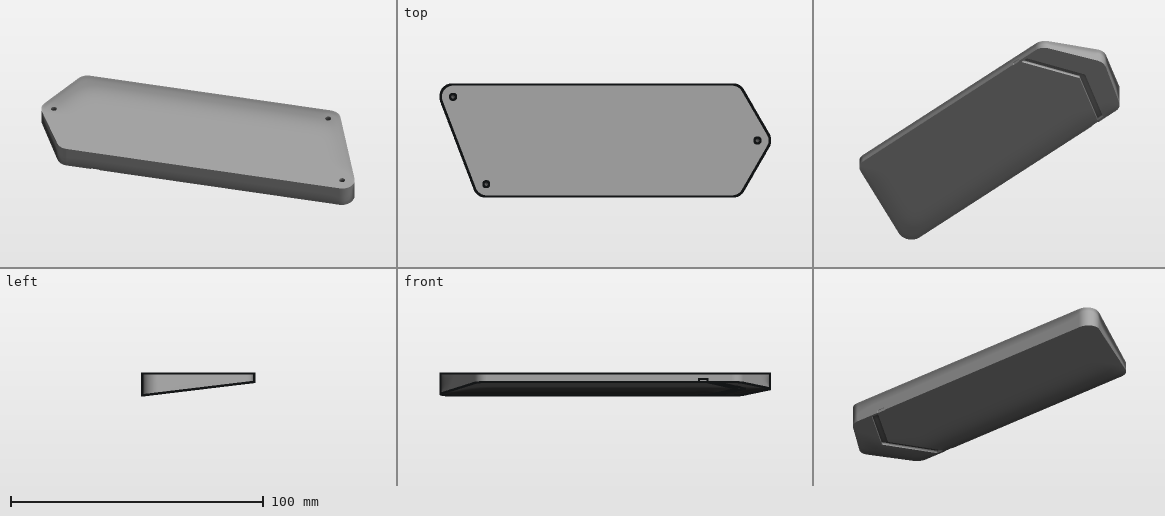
import cadquery as cq
import math

length = 130.4
width = 44.5
back_height = 8.7
front_height = 3.4

corner_radius = 5.0
nose_angle = math.radians(60)
left_lean = 13.2

hole_diameter = 2.3
hole_straight_depth = 2.0
hole_tip_angle = math.radians(118)

groove_tip = 120.5
groove_angle = math.radians(62)
groove_width = 2.7
groove_depth = 1.2
groove_end_wall = 1.0

recess_left = 102.4
recess_width = 3.3
recess_depth = 0.3

front_y = corner_radius
back_y = width - corner_radius
middle_y = width / 2
nose_x = length - corner_radius
shoulder_x = nose_x - (middle_y - front_y) / math.tan(nose_angle)
back_left = (corner_radius, back_y)
front_left = (corner_radius + left_lean, front_y)
front_right = (shoulder_x, front_y)
nose = (nose_x, middle_y)
back_right = (shoulder_x, back_y)
corners = [back_left, front_left, front_right, nose, back_right]


def rounded_plate(centres, radius, height):
    """Plate whose outline wraps equal circles around the centres, listed anticlockwise."""
    core = cq.Workplane("XY").polyline(centres).close()
    return core.offset2D(radius, "arc").extrude(height)


def sloping_wedge():
    """Block from the sloping underside up to the top face, as long and wide as the part."""
    side = [(0, back_height - front_height), (width, 0), (width, back_height), (0, back_height)]
    return cq.Workplane("YZ").polyline(side).close().extrude(length)


def near_underside(shape, height):
    """Part of a shape lying no higher than the given height above the underside."""
    return shape.cut(sloping_wedge().translate((0, 0, height)))


def chevron_groove():
    """V-shaped band at a constant depth, stopping just short of both long edges."""
    run = (middle_y - groove_end_wall) / math.tan(groove_angle)
    shift = groove_width / math.sin(groove_angle)
    tail = groove_tip - run
    outline = [
        (tail, groove_end_wall),
        (groove_tip, middle_y),
        (tail, width - groove_end_wall),
        (tail - shift, width - groove_end_wall),
        (groove_tip - shift, middle_y),
        (tail - shift, groove_end_wall),
    ]
    band = cq.Workplane("XY").polyline(outline).close().extrude(back_height)
    return near_underside(band, groove_depth)


def edge_recess(start_y):
    """Shallow notch in a long edge, as tall as the groove is deep and open below."""
    block = cq.Workplane("XY").box(recess_width, recess_depth, back_height, centered=False)
    return near_underside(block.translate((recess_left, start_y, 0)), groove_depth)


def drilled_hole(centre):
    """Straight hole with a conical bottom, sunk from the top face at the given centre."""
    radius = hole_diameter / 2
    straight_end = back_height - hole_straight_depth
    point = straight_end - radius / math.tan(hole_tip_angle / 2)
    profile = [(0, back_height), (radius, back_height), (radius, straight_end), (0, point)]
    drill = cq.Workplane("XZ").polyline(profile).close().revolve(360, (0, 0), (0, 1))
    return drill.translate((centre[0], centre[1], 0))


body = rounded_plate(corners, corner_radius, back_height).intersect(sloping_wedge())
body = body.cut(chevron_groove())
for start_y in (0, width - recess_depth):
    body = body.cut(edge_recess(start_y))
for centre in (back_left, front_left, nose):
    body = body.cut(drilled_hole(centre))
result = body